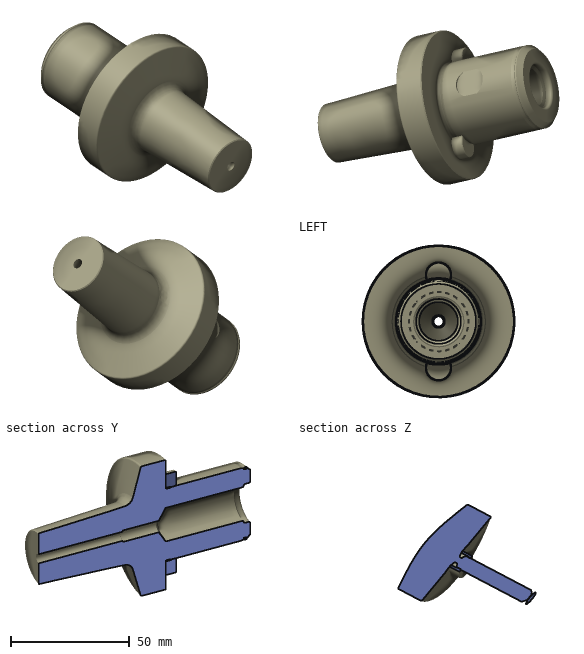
import cadquery as cq
import math

LENGTH = 100.5
PLANE_TOLERANCE = 0.01

SHANK_RADIUS = 18.0
NOSE_CHAMFER = 1.9
SHANK_STEP = 0.3
LEAD_IN_START = 3.4
LEAD_IN_END = 4.7
NECK_TAPER_START = 37.5
NECK_START = 38.6
NECK_RADIUS = SHANK_RADIUS - SHANK_STEP

FLANGE_FACE = 40.0
FLANGE_BACK = 52.1
FLANGE_RADIUS = 32.01
FLANGE_EDGE_CHAMFER = 0.4
FLANGE_BACK_ROUND = 0.8
RELIEF_RADIUS = 19.6
RELIEF_ANGLE = 8.0
RELIEF_ROUND = 0.7

CONE_ANGLE = 15.0
STUB_BASE_RADIUS = 14.6
STUB_BASE = 59.4
STUB_TIP_RADIUS = 12.7
STUB_TIP_CHAMFER = 0.4
STUB_ROUND = 4.0

MOUTH_RADIUS = 9.4
MOUTH_ROUND = 1.1
MOUTH_DEPTH = 2.9
BORE_RADIUS = 8.1
BORE_DEPTH = 40.2
COOLANT_RADIUS = 2.7
COOLANT_DEPTH = 60.3
OUTLET_RADIUS = 2.1
BORE_CONE_ANGLE = 59.0

SEAT_X = 24.6
SEAT_RADIUS = 6.4
SEAT_DEPTH = 0.9

RING_START = NOSE_CHAMFER
RING_END = 3.1
RING_INNER_RADIUS = 17.0
RING_CHAMFER = 0.3

KEY_RADIUS = 5.4
KEY_OFFSET = 19.5
KEY_LENGTH = 4.9
KEY_CHAMFER = 0.3


def revolve_about_x(profile):
    """Turn a closed profile drawn in X and radius around the X axis."""
    return profile.close().revolve(360, (0, 0, 0), (1, 0, 0))


def circle_at(x):
    """Selector for the circular edges that lie in the plane at the given X."""
    reach = FLANGE_RADIUS
    return cq.selectors.BoxSelector(
        (x - PLANE_TOLERANCE, -reach, -reach), (x + PLANE_TOLERANCE, reach, reach)
    )


def cylinder(start, end, radius):
    return cq.Workplane("YZ", origin=(start, 0, 0)).circle(radius).extrude(end - start)


def make_blank():
    """Turned outside of the holder: shank, relieved flange, cone and tapered stub."""
    relief_bottom = NECK_RADIUS + RELIEF_ROUND
    relief_x = FLANGE_FACE + (RELIEF_RADIUS - relief_bottom) * math.tan(math.radians(RELIEF_ANGLE))
    round_middle = RELIEF_ROUND * math.sqrt(0.5)

    cone_slope = math.tan(math.radians(CONE_ANGLE))
    stub_slope = (STUB_BASE_RADIUS - STUB_TIP_RADIUS) / (LENGTH - STUB_BASE)
    radius_under_flange = STUB_TIP_RADIUS + stub_slope * (LENGTH - FLANGE_BACK)
    cone_height = (FLANGE_RADIUS - radius_under_flange) / (1 - stub_slope * cone_slope)
    corner_x = FLANGE_BACK + cone_height * cone_slope
    corner_radius = STUB_TIP_RADIUS + stub_slope * (LENGTH - corner_x)

    profile = (
        cq.Workplane("XY")
        .lineTo(0, NECK_RADIUS - NOSE_CHAMFER)
        .lineTo(RING_START, NECK_RADIUS)
        .lineTo(RING_START, RING_INNER_RADIUS)
        .lineTo(RING_END, RING_INNER_RADIUS)
        .lineTo(RING_END, NECK_RADIUS)
        .lineTo(LEAD_IN_START, NECK_RADIUS)
        .lineTo(LEAD_IN_END, SHANK_RADIUS)
        .lineTo(NECK_TAPER_START, SHANK_RADIUS)
        .lineTo(NECK_START, NECK_RADIUS)
        .lineTo(relief_x - RELIEF_ROUND, NECK_RADIUS)
        .threePointArc(
            (relief_x - RELIEF_ROUND + round_middle, relief_bottom - round_middle),
            (relief_x, relief_bottom),
        )
        .lineTo(FLANGE_FACE, RELIEF_RADIUS)
        .lineTo(FLANGE_FACE, FLANGE_RADIUS - FLANGE_EDGE_CHAMFER)
        .lineTo(FLANGE_FACE + FLANGE_EDGE_CHAMFER, FLANGE_RADIUS)
        .lineTo(FLANGE_BACK, FLANGE_RADIUS)
        .lineTo(corner_x, corner_radius)
        .lineTo(LENGTH - STUB_TIP_CHAMFER, STUB_TIP_RADIUS)
        .lineTo(LENGTH, STUB_TIP_RADIUS - STUB_TIP_CHAMFER)
        .lineTo(LENGTH, 0)
    )
    blank = revolve_about_x(profile)
    blank = blank.edges(circle_at(FLANGE_BACK)).fillet(FLANGE_BACK_ROUND)
    return blank.edges(circle_at(corner_x)).fillet(STUB_ROUND)


def make_bore():
    """Cutter for the stepped bore: rounded mouth, bore, drill cone and coolant hole."""
    cone_run = 1 / math.tan(math.radians(BORE_CONE_ANGLE))
    round_middle = MOUTH_ROUND * math.sqrt(0.5)
    profile = (
        cq.Workplane("XY")
        .lineTo(0, MOUTH_RADIUS + MOUTH_ROUND)
        .threePointArc(
            (MOUTH_ROUND - round_middle, MOUTH_RADIUS + MOUTH_ROUND - round_middle),
            (MOUTH_ROUND, MOUTH_RADIUS),
        )
        .lineTo(MOUTH_DEPTH, MOUTH_RADIUS)
        .lineTo(MOUTH_DEPTH + (MOUTH_RADIUS - BORE_RADIUS) * cone_run, BORE_RADIUS)
        .lineTo(BORE_DEPTH, BORE_RADIUS)
        .lineTo(BORE_DEPTH + (BORE_RADIUS - COOLANT_RADIUS) * cone_run, COOLANT_RADIUS)
        .lineTo(COOLANT_DEPTH, COOLANT_RADIUS)
        .lineTo(COOLANT_DEPTH + (COOLANT_RADIUS - OUTLET_RADIUS) * cone_run, OUTLET_RADIUS)
        .lineTo(LENGTH, OUTLET_RADIUS)
        .lineTo(LENGTH, 0)
    )
    return revolve_about_x(profile)


def make_clamp_seat():
    """Cutter for the shallow round seat sunk into the +Y side of the shank."""
    floor = cq.Workplane("XZ", origin=(SEAT_X, SHANK_RADIUS - SEAT_DEPTH, 0))
    return floor.circle(SEAT_RADIUS).extrude(-2 * SEAT_DEPTH)


def make_holder():
    return make_blank().cut(make_bore()).cut(make_clamp_seat())


def make_ring():
    ring = cylinder(RING_START, RING_END, SHANK_RADIUS).edges().chamfer(RING_CHAMFER)
    return ring.cut(cylinder(RING_START, RING_END, RING_INNER_RADIUS))


def make_key(side):
    """Round key on the flange face, hollowed to the shank; side is +1 for +Z and -1 for -Z."""
    key = (
        cq.Workplane("YZ", origin=(FLANGE_FACE - KEY_LENGTH, 0, side * KEY_OFFSET))
        .circle(KEY_RADIUS)
        .extrude(KEY_LENGTH)
        .cut(cylinder(0, FLANGE_FACE, SHANK_RADIUS))
    )
    return key.faces("<X").chamfer(KEY_CHAMFER)


holder = make_holder()
ring = make_ring()
keys = [make_key(side) for side in (1, -1)]

result = cq.Compound.makeCompound([holder.val(), ring.val(), *[key.val() for key in keys]])